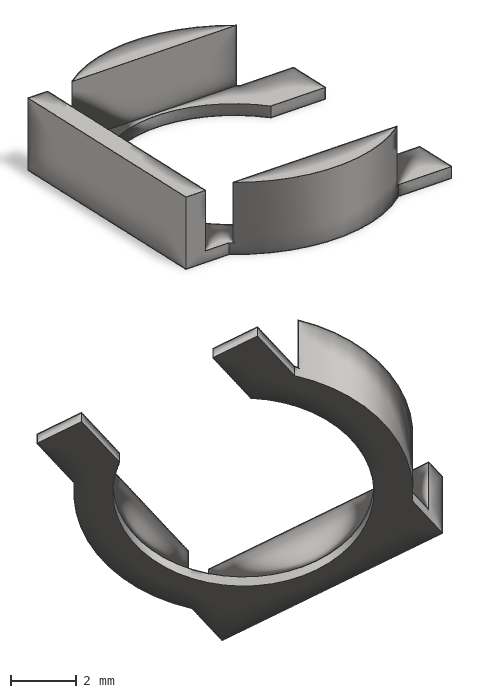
import cadquery as cq

outer_radius = 5.2
bore_radius = 4.0
height = 2.5
base_thickness = 0.41

plate_width = 8.15
front_y = -4.87
length = 10.13
arm_gap = 4.87

front_wall_thickness = 0.75
side_wall_spacing = 8.3


def block(width, depth, block_height, start_y):
    """Block centred on X, running from start_y towards +Y, resting on Z = 0."""
    return (
        cq.Workplane("XY")
        .box(width, depth, block_height, centered=(True, False, False))
        .translate((0, start_y, 0))
    )


def side_segments(inner_spacing, segment_height):
    """Two circular segments left of a disc after removing its middle strip."""
    disc = cq.Workplane("XY").circle(outer_radius).extrude(segment_height)
    middle = block(inner_spacing, 2 * outer_radius, segment_height, -outer_radius)
    return disc.cut(middle)


plate = block(plate_width, length, base_thickness, front_y)
base = plate.union(side_segments(plate_width, base_thickness))

bore = cq.Workplane("XY").circle(bore_radius).extrude(base_thickness)
opening = block(arm_gap, length + front_y, base_thickness, 0)
base = base.cut(bore).cut(opening)

front_wall = block(plate_width, front_wall_thickness, height, front_y)
side_walls = side_segments(side_wall_spacing, height)

result = base.union(front_wall).union(side_walls)